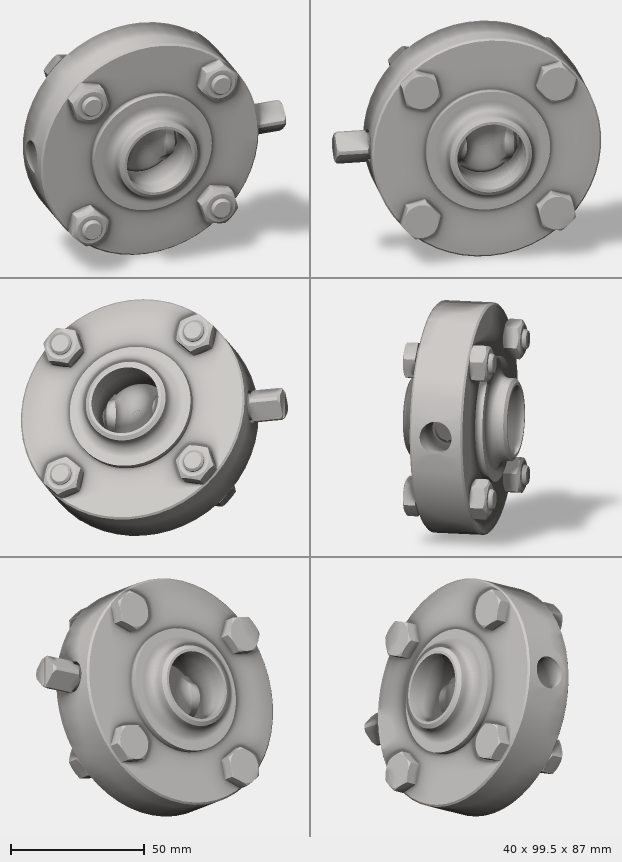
import cadquery as cq
import math


overall_length = 99.5

housing_radius = 43.5
housing_half_width = 10.1
housing_chamfer = 0.7

shoulder_radius = 23.5
shoulder_end = 13.0
neck_radius = 15.5
neck_end = 20.0
neck_fillet = 4.0
bore_radius = 12.98
end_chamfer_length = 1.0
end_face_radius = 14.0

bolt_offset = 25.8
bolt_tilt = 2.0
across_flats = 13.0
hex_corner_radius = across_flats / math.sqrt(3)
hex_face_radius = across_flats / 2
bolt_radius = 4.0
bolt_tip_radius = 3.3
bolt_tip_chamfer = 0.9
bolt_tip = 18.2
collar_radius = 5.72
head_start = -15.4
head_end = -10.5
nut_end = 16.6
nut_top_radius = 5.72
nut_top_chamfer = 1.2
hex_chamfer = (hex_corner_radius - hex_face_radius) * math.tan(math.radians(30))

shaft_hole_radius = 6.12
shaft_hole_bottom = 23.9
shaft_radius = 5.02
shaft_tip = 25.9
shaft_tip_radius = 4.0
shaft_tip_chamfer = shaft_radius - shaft_tip_radius
slot_width = 1.0
slot_depth = 0.5
square_across_flats = 9.7
square_corner_radius = 6.2
square_start = 43.9
square_end = overall_length - housing_radius
square_tip_chamfer = 0.9
square_base_chamfer = 0.6

disc_half_width = 2.5
disc_face_radius = 11.29
disc_rim_round = bore_radius - disc_face_radius
centre_mark_radius = 2.1
centre_mark_depth = 0.1
hub_radius = 7.7
hub_inner = 7.1
hub_outer = 10.7
hub_tip = 12.3
hub_tip_radius = 5.2
hub_flank_fillet = 3.1
hub_end_radius = 13.9
hub_end_fillet = 3.9


def turned_about_x(outline):
    """Revolve a closed (x, radius) outline about the X axis."""
    return outline.close().revolve(360, (0, 0, 0), (1, 0, 0))


def turned_about_y(points):
    """Revolve a closed list of (radius, y) points about the Y axis."""
    return cq.Workplane("XY").polyline(points).close().revolve(360, (0, 0, 0), (0, 1, 0))


def make_housing():
    blank = (
        cq.Workplane("YZ", origin=(-housing_half_width, 0, 0))
        .circle(housing_radius)
        .extrude(2 * housing_half_width)
        .edges()
        .chamfer(housing_chamfer)
    )
    for side in (1, -1):
        blank = blank.union(make_neck(side))
    return blank.cut(make_bore())


def make_bore():
    """Cylinder filling the whole flow passage."""
    return (
        cq.Workplane("YZ", origin=(-neck_end, 0, 0))
        .circle(bore_radius)
        .extrude(2 * neck_end)
    )


def make_neck(side):
    fillet_start = shoulder_end + neck_fillet
    fillet_drop = neck_fillet * (1 - math.sqrt(0.5))
    outline = (
        cq.Workplane("XY")
        .moveTo(0, 0)
        .lineTo(0, shoulder_radius)
        .lineTo(side * shoulder_end, shoulder_radius)
        .lineTo(side * shoulder_end, neck_radius + neck_fillet)
        .threePointArc(
            (side * (shoulder_end + fillet_drop), neck_radius + fillet_drop),
            (side * fillet_start, neck_radius),
        )
        .lineTo(side * (neck_end - end_chamfer_length), neck_radius)
        .lineTo(side * neck_end, end_face_radius)
        .lineTo(side * neck_end, 0)
    )
    return turned_about_x(outline)


def make_hexagon(start, end):
    """Hexagonal prism along X with one flat facing +Z."""
    return (
        cq.Workplane("YZ", origin=(start, 0, 0))
        .polygon(6, 2 * hex_corner_radius)
        .extrude(end - start)
    )


def make_bolt():
    """Bolt with head and nut, lying on the X axis."""
    head_envelope = turned_about_x(
        cq.Workplane("XY")
        .moveTo(head_start, 0)
        .lineTo(head_start, hex_face_radius)
        .lineTo(head_start + hex_chamfer, hex_corner_radius)
        .lineTo(head_end, hex_corner_radius)
        .lineTo(head_end, 0)
    )
    nut_envelope = turned_about_x(
        cq.Workplane("XY")
        .moveTo(housing_half_width, 0)
        .lineTo(housing_half_width, hex_face_radius)
        .lineTo(housing_half_width + hex_chamfer, hex_corner_radius)
        .lineTo(nut_end - nut_top_chamfer, hex_corner_radius)
        .lineTo(nut_end, nut_top_radius)
        .lineTo(nut_end, 0)
    )
    shank = turned_about_x(
        cq.Workplane("XY")
        .moveTo(head_end, 0)
        .lineTo(head_end, collar_radius)
        .lineTo(-housing_half_width, collar_radius)
        .lineTo(-housing_half_width, bolt_radius)
        .lineTo(bolt_tip - bolt_tip_chamfer, bolt_radius)
        .lineTo(bolt_tip, bolt_tip_radius)
        .lineTo(bolt_tip, 0)
    )
    head = make_hexagon(head_start, head_end).intersect(head_envelope)
    nut = make_hexagon(housing_half_width, nut_end).intersect(nut_envelope)
    return shank.union(head).union(nut)


def add_bolts(body):
    bolt_circle_radius = math.hypot(bolt_offset, bolt_offset)
    tilted_bolt = make_bolt().rotate((0, 0, 0), (1, 0, 0), bolt_tilt)
    upright_bolt = tilted_bolt.translate((0, 0, bolt_circle_radius))
    for quarter in range(4):
        spin = 45 + 90 * quarter
        body = body.union(upright_bolt.rotate((0, 0, 0), (1, 0, 0), spin))
    return body


def cut_shaft_holes(body):
    for side in (1, -1):
        hole = (
            cq.Workplane("XZ", origin=(0, side * shaft_hole_bottom, 0))
            .circle(shaft_hole_radius)
            .extrude(-side * housing_radius)
        )
        body = body.cut(hole)
    return body


def make_shaft_end():
    """Blind shaft end on the -Y side, with a slot along Z."""
    pin = turned_about_y([
        (0, -hub_outer),
        (shaft_radius, -hub_outer),
        (shaft_radius, shaft_tip_chamfer - shaft_tip),
        (shaft_tip_radius, -shaft_tip),
        (0, -shaft_tip),
    ])
    return pin.cut(make_slot(-shaft_tip))


def make_square_end():
    """Operating square on the +Y side, corners facing X and Z, with a slot along Z."""
    stem = turned_about_y([
        (0, hub_outer),
        (shaft_radius, hub_outer),
        (shaft_radius, square_start),
        (0, square_start),
    ])
    envelope = turned_about_y([
        (0, square_start),
        (square_corner_radius - square_base_chamfer, square_start),
        (square_corner_radius, square_start + square_base_chamfer),
        (square_corner_radius, square_end - square_tip_chamfer),
        (square_corner_radius - square_tip_chamfer, square_end),
        (0, square_end),
    ])
    square = (
        cq.Workplane("XZ", origin=(0, square_start, 0))
        .transformed(rotate=(0, 0, 45))
        .rect(square_across_flats, square_across_flats)
        .extrude(square_start - square_end)
        .intersect(envelope)
    )
    return stem.union(square).cut(make_slot(square_end))


def make_slot(y_face):
    """Cutter for a slot along Z in a shaft end face."""
    return cq.Workplane("XY").box(slot_width, 2 * slot_depth, 4 * shaft_radius).translate((0, y_face, 0))


def make_barrel(side):
    """Hub barrel along Y, its flanks filleted down to both faces of the disc."""
    centre_x = disc_half_width + hub_flank_fillet
    centre_distance = hub_radius + hub_flank_fillet
    centre_z = math.sqrt(centre_distance**2 - centre_x**2)
    crest_x = centre_x * hub_radius / centre_distance
    crest_z = centre_z * hub_radius / centre_distance
    middle_angle = math.pi + math.atan2(centre_z, centre_x) / 2
    middle_x = centre_x + hub_flank_fillet * math.cos(middle_angle)
    middle_z = centre_z + hub_flank_fillet * math.sin(middle_angle)
    return (
        cq.Workplane("XZ")
        .moveTo(disc_half_width, centre_z)
        .threePointArc((middle_x, middle_z), (crest_x, crest_z))
        .threePointArc((hub_radius, 0), (crest_x, -crest_z))
        .threePointArc((middle_x, -middle_z), (disc_half_width, -centre_z))
        .lineTo(-disc_half_width, -centre_z)
        .threePointArc((-middle_x, -middle_z), (-crest_x, -crest_z))
        .threePointArc((-hub_radius, 0), (-crest_x, crest_z))
        .threePointArc((-middle_x, middle_z), (-disc_half_width, centre_z))
        .close()
        .extrude(-side * hub_tip)
    )


def make_hub_end(side):
    """Round limit of the hub's inner end, flaring out with a fillet onto the disc faces."""
    flare_radius = hub_end_radius + hub_end_fillet
    flare_end = disc_half_width + hub_end_fillet
    flare_shift = hub_end_fillet * (1 - math.sqrt(0.5))
    middle = (disc_half_width + flare_shift, hub_end_radius + flare_shift)
    outline = (
        cq.Workplane("XY")
        .moveTo(-bore_radius, 0)
        .lineTo(-bore_radius, hub_end_radius)
        .lineTo(-flare_end, hub_end_radius)
        .threePointArc((-middle[0], middle[1]), (-disc_half_width, flare_radius))
        .lineTo(disc_half_width, flare_radius)
        .threePointArc(middle, (flare_end, hub_end_radius))
        .lineTo(bore_radius, hub_end_radius)
        .lineTo(bore_radius, 0)
    )
    return turned_about_x(outline).translate((0, side * (hub_inner + hub_end_radius), 0))


def make_hub(side):
    taper = turned_about_y([
        (0, 0),
        (bore_radius, 0),
        (bore_radius, side * hub_inner),
        (hub_radius, side * hub_outer),
        (hub_tip_radius, side * hub_tip),
        (0, side * hub_tip),
    ])
    return make_barrel(side).intersect(make_hub_end(side)).intersect(taper).intersect(make_bore())


def make_disc():
    disc = (
        cq.Workplane("YZ", origin=(-disc_half_width, 0, 0))
        .circle(bore_radius)
        .extrude(2 * disc_half_width)
        .edges()
        .fillet(disc_rim_round)
    )
    for face in (-disc_half_width, disc_half_width):
        mark = (
            cq.Workplane("YZ", origin=(face - centre_mark_depth, 0, 0))
            .circle(centre_mark_radius)
            .extrude(2 * centre_mark_depth)
        )
        disc = disc.cut(mark)
    return disc.union(make_hub(1)).union(make_hub(-1))


result = make_housing()
result = cut_shaft_holes(result)
result = add_bolts(result)
result = result.union(make_shaft_end()).union(make_square_end()).union(make_disc())